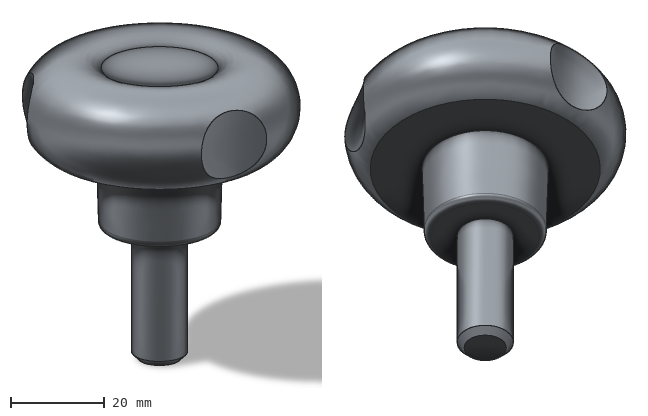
import cadquery as cq
import math

total_height = 68.5
hub_bottom_z = 30.0
head_bottom_z = 47.95

head_radius = 30.0
rim_radius = 11.0
dish_radius = 12.45

hollow_count = 3
hollow_radius = 20.0
hollow_floor_radius = 27.0
first_hollow_angle = 90.0

hub_top_radius = 13.5
hub_bottom_radius = 13.0
hub_fillet = 1.5

stud_radius = 12.0 / 2
stud_chamfer = 1.5

rim_center_r = head_radius - rim_radius
rim_center_z = total_height - rim_radius


def rim_half_height(r):
    """Height of the rim surface above its centre at distance r from the axis."""
    return math.sqrt(rim_radius**2 - (r - rim_center_r) ** 2)


def rim_half_width(z):
    """Radial reach of the rim surface from its centre at height z."""
    return math.sqrt(rim_radius**2 - (z - rim_center_z) ** 2)


def make_head():
    dish_z = rim_center_z + rim_half_height(dish_radius)
    bottom_radius = rim_center_r + rim_half_width(head_bottom_z)
    mid_angle = math.radians(45)
    arc_mid = (
        rim_center_r + rim_radius * math.cos(mid_angle),
        rim_center_z + rim_radius * math.sin(mid_angle),
    )
    profile = (
        cq.Workplane("XZ")
        .moveTo(0, head_bottom_z)
        .lineTo(0, dish_z)
        .lineTo(dish_radius, dish_z)
        .threePointArc(arc_mid, (bottom_radius, head_bottom_z))
        .close()
    )
    return profile.revolve(360, (0, 0, 0), (0, 1, 0))


def make_hollows():
    return (
        cq.Workplane("XY")
        .workplane(offset=head_bottom_z)
        .polarArray(hollow_floor_radius + hollow_radius, first_hollow_angle, 360, hollow_count)
        .circle(hollow_radius)
        .extrude(total_height - head_bottom_z)
    )


def make_hub():
    profile = (
        cq.Workplane("XZ")
        .moveTo(0, hub_bottom_z)
        .lineTo(hub_bottom_radius, hub_bottom_z)
        .lineTo(hub_top_radius, head_bottom_z)
        .lineTo(0, head_bottom_z)
        .close()
    )
    hub = profile.revolve(360, (0, 0, 0), (0, 1, 0))
    return hub.faces("<Z").edges().fillet(hub_fillet)


def make_stud():
    stud = cq.Workplane("XY").circle(stud_radius).extrude(hub_bottom_z)
    return stud.faces("<Z").edges().chamfer(stud_chamfer)


result = make_head().cut(make_hollows()).union(make_hub()).union(make_stud())